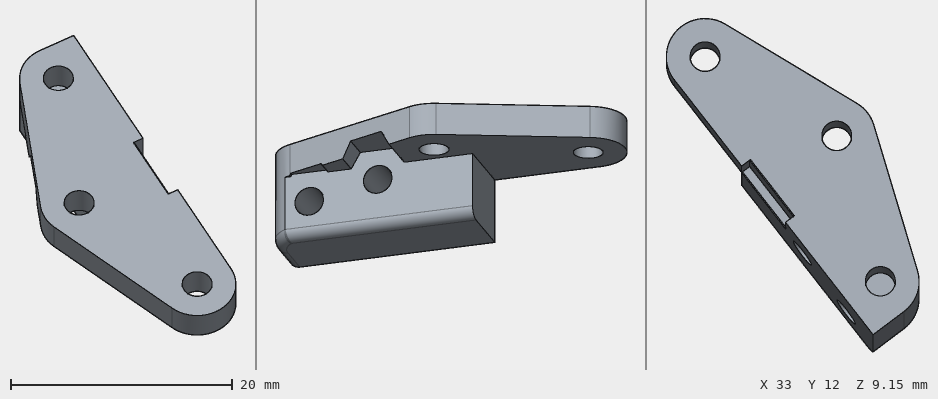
import cadquery as cq
import math

total_height = 9.15
plate_thickness = 3.05
block_height = total_height - plate_thickness
block_length = 19.5
block_depth = 6.5
bottom_fillet = 1.0

boss_radius = 3.5
boss_span = 26.0
front_boss_offset = 5.0
left_x = boss_radius
front_x = left_x + boss_span / 2
right_x = left_x + boss_span
rear_y = -boss_radius
front_y = rear_y - front_boss_offset

hole_diameter = 2.7
blind_hole_depth = plate_thickness
nut_width = 5.7
cross_hole_centers = [(4.0, 3.45), (10.5, 4.75)]

notch_length = 6.5
notch_depth = 1.0
notch_chamfer = 0.1


def outline():
    """Plate outline: arcs around the bosses joined by straight tangent edges."""
    edge_length = math.hypot(boss_span / 2, front_boss_offset)
    normal_x = boss_radius * front_boss_offset / edge_length
    normal_y = boss_radius * boss_span / 2 / edge_length
    corner_mid = math.atan2(normal_y, normal_x) / 2
    left_mid = (
        left_x - boss_radius * math.cos(corner_mid),
        rear_y - boss_radius * math.sin(corner_mid),
    )
    return (
        cq.Workplane("XY")
        .moveTo(0, 0)
        .lineTo(0, rear_y)
        .threePointArc(left_mid, (left_x - normal_x, rear_y - normal_y))
        .lineTo(front_x - normal_x, front_y - normal_y)
        .threePointArc((front_x, front_y - boss_radius), (front_x + normal_x, front_y - normal_y))
        .lineTo(right_x + normal_x, rear_y - normal_y)
        .threePointArc((right_x + boss_radius, rear_y), (right_x, 0))
        .close()
    )


def make_block():
    """Block under the plate, following the rounded left corner of the outline."""
    limits = cq.Workplane("XY").box(block_length, block_depth, block_height, centered=False)
    limits = limits.translate((0, -block_depth, 0))
    block = outline().extrude(block_height).intersect(limits)
    front_and_left = block.faces("<Z").edges("not(>X or >Y)")
    return front_and_left.fillet(bottom_fillet)


def make_plate():
    return outline().extrude(plate_thickness).translate((0, 0, block_height))


def plate_hole(x, y, depth):
    top = cq.Workplane("XY", origin=(x, y, total_height))
    return top.circle(hole_diameter / 2).extrude(-depth)


def cross_hole(x, z):
    """Screw hole running through the block from front to back."""
    front = cq.Workplane("XZ", origin=(x, 0, z))
    return front.circle(hole_diameter / 2).extrude(block_depth)


def nut_clearance(x, z):
    """Hexagonal clearance in front of the block that cuts into the plate underside."""
    corner_diameter = nut_width / math.cos(math.radians(30))
    reach = boss_radius - front_y - block_depth
    front = cq.Workplane("XZ", origin=(x, -block_depth, z))
    return front.polygon(6, corner_diameter).extrude(reach)


def back_notch():
    """Notch through the plate, with its upper front edge and the rear edge of its floor beveled."""
    profile = [
        (0, block_height - notch_chamfer),
        (-notch_chamfer, block_height),
        (notch_chamfer - notch_depth, block_height),
        (notch_chamfer - notch_depth, total_height - notch_chamfer),
        (-notch_depth, total_height),
        (0, total_height),
    ]
    side = cq.Workplane("YZ", origin=(block_length - notch_length, 0, 0))
    return side.polyline(profile).close().extrude(notch_length)


result = make_plate().union(make_block())
result = result.cut(plate_hole(left_x, rear_y, blind_hole_depth))
for x, y in [(front_x, front_y), (right_x, rear_y)]:
    result = result.cut(plate_hole(x, y, plate_thickness))
for x, z in cross_hole_centers:
    result = result.cut(cross_hole(x, z))
    result = result.cut(nut_clearance(x, z))
result = result.cut(back_notch())